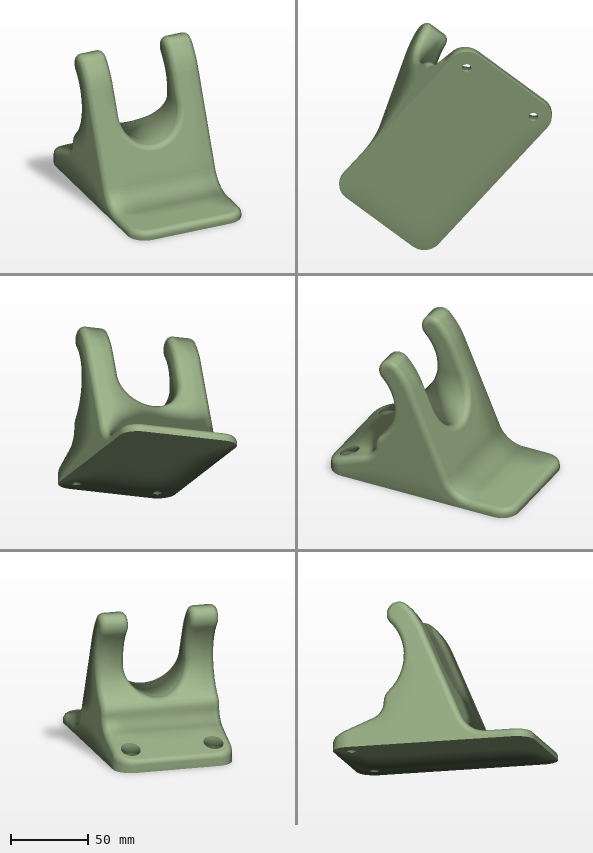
import cadquery as cq
import math

length = 135.0
width = 80.0
plate_thickness = 6.0
corner_radius = 12.0
edge_radius = 3.9

ramp_angle = math.radians(21.3)
ramp_height = 7.8
valley_radius = 11.0
wall_x = 36.0

total_height = 95.7
tip_radius = 8.0
tip_x = 46.0
cradle_x = 18.1
cradle_z = 60.0
crown_radius = 50.0
crown_start = math.radians(45)
back_normal = math.radians(23.1)
back_foot_radius = 18.0

slot_width = 42.1
slot_center_z = 58.0
selection_margin = 0.1

hole_diameter = 6.0
head_diameter = 13.0
cone_bottom_z = 6.5
cone_height = 1.6


def polar(center, radius, angle):
    """Point on a circle in the XZ plane."""
    return (center[0] + radius * math.cos(angle), center[1] + radius * math.sin(angle))


def direction(start, end):
    """Angle of the line from start to end."""
    return math.atan2(end[1] - start[1], end[0] - start[0])


def add_arc(path, center, radius, start, end):
    """Extend the path along a circle, from the start angle to the end angle."""
    middle = polar(center, radius, (start + end) / 2)
    return path.threePointArc(middle, polar(center, radius, end))


def make_body():
    """Side outline, every arc tangent to its neighbours, extruded across the width."""
    valley_x = wall_x - valley_radius
    valley_z = ramp_height + valley_x * math.tan(ramp_angle) + valley_radius / math.cos(ramp_angle)
    valley = (valley_x, valley_z)
    valley_start = ramp_angle - math.pi / 2

    tip = (tip_x, total_height - tip_radius)
    cradle = (cradle_x, cradle_z)
    cradle_radius = math.dist(cradle, tip) - tip_radius

    reach = wall_x - cradle_x
    drop = cradle_z - valley_z
    shoulder_radius = (reach**2 + drop**2 - cradle_radius**2) / (2 * (cradle_radius - reach))
    shoulder = (wall_x + shoulder_radius, valley_z)
    shoulder_end = direction(shoulder, cradle)
    cradle_start = direction(cradle, shoulder)
    cradle_end = direction(cradle, tip)

    crown = polar(tip, tip_radius - crown_radius, crown_start)
    foot_z = plate_thickness + back_foot_radius
    center_gap = crown_radius + back_foot_radius
    foot_x = crown[0] + (center_gap - (foot_z - crown[1]) * math.sin(back_normal)) / math.cos(back_normal)
    foot = (foot_x, foot_z)
    foot_start = math.pi + back_normal

    path = cq.Workplane("XZ").moveTo(0, 0).lineTo(0, ramp_height)
    path = path.lineTo(*polar(valley, valley_radius, valley_start))
    path = add_arc(path, valley, valley_radius, valley_start, 0)
    path = add_arc(path, shoulder, shoulder_radius, math.pi, shoulder_end)
    path = add_arc(path, cradle, cradle_radius, cradle_start, cradle_end)
    path = add_arc(path, tip, tip_radius, cradle_end + math.pi, crown_start)
    path = add_arc(path, crown, crown_radius, crown_start, back_normal)
    path = path.lineTo(*polar(foot, back_foot_radius, foot_start))
    path = add_arc(path, foot, back_foot_radius, foot_start, 1.5 * math.pi)
    path = path.lineTo(length, plate_thickness).lineTo(length, 0).close()
    return path.extrude(width / 2, both=True)


def make_slot():
    """Round-bottomed cutter, open at the top, running along X."""
    rounded_bottom = (
        cq.Workplane("YZ").center(0, slot_center_z).circle(slot_width / 2).extrude(length)
    )
    opening = cq.Workplane("XY").box(
        length, slot_width, total_height, centered=(False, True, False)
    )
    return rounded_bottom.union(opening.translate((0, 0, slot_center_z)))


def make_screw_hole():
    """Through hole with a conical seat and a clear bore above it for the screw head."""
    hole = cq.Workplane("XY").circle(hole_diameter / 2).extrude(total_height)
    cone_solid = cq.Solid.makeCone(
        hole_diameter / 2, head_diameter / 2, cone_height, pnt=cq.Vector(0, 0, cone_bottom_z)
    )
    head_bore = (
        cq.Workplane("XY", origin=(0, 0, cone_bottom_z + cone_height))
        .circle(head_diameter / 2)
        .extrude(total_height)
    )
    return hole.union(cq.Workplane(cone_solid)).union(head_bore)


body = make_body()
body = body.edges("|Z").fillet(corner_radius)

body = body.faces("<Y or >Y").edges("not(|Z or <Z)").fillet(edge_radius)
body = body.cut(make_slot())
slot_region = cq.selectors.BoxSelector(
    (0, -slot_width / 2 - selection_margin, plate_thickness),
    (length, slot_width / 2 + selection_margin, total_height + selection_margin),
    boundingbox=True,
)
body = body.edges(slot_region).edges("not(|X or |Y)").fillet(edge_radius)

screw_hole = make_screw_hole()
for side in (-1, 1):
    hole_y = side * (width / 2 - corner_radius)
    body = body.cut(screw_hole.translate((corner_radius, hole_y, 0)))

result = body